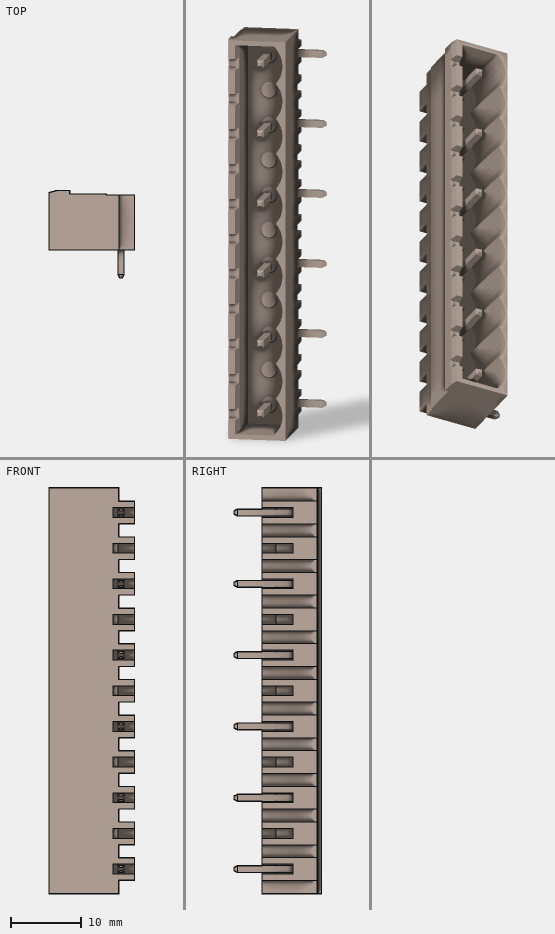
import cadquery as cq


POSITIONS = 11
PITCH = 5.08
LENGTH = 57.88
CONTACT_STEP = 2

DEPTH = 12.2
RIDGE_HEIGHT = 8.5
RIDGE_FRONT_HEIGHT = 8.2
RIDGE_SLOPE_END = 1.1
RIDGE_BACK = 3.0
LID_HEIGHT = 8.02
LID_BACK = 8.2
REAR_HEIGHT = 7.85

FLOOR_X = 8.2
END_WALL = 0.7
MOUTH_CEILING = 7.3
CEILING = 6.95
CEILING_SLOPE_END = 1.9

SCALLOP_AXIS_Y = 4.35
SCALLOP_MOUTH_RADIUS = 3.9
SCALLOP_FLOOR_RADIUS = 3.5
CUSP_TOP_Y = 1.75

NOTCH_MOUTH_WIDTH = 1.65
NOTCH_FLOOR_WIDTH = 1.4
NOTCH_DEPTH = 1.4

TOOTH_ROOT_X = 9.97
TOOTH_WIDTH = 3.25
CHANNEL_WIDTH = 1.4
CHANNEL_MOUTH_X = 9.1
CHANNEL_MOUTH_DEPTH = 2.0

CONTACT_Y = 3.9
CONTACT_SIZE = 1.0
CONTACT_FRONT_X = 0.9
LEG_FRONT_X = 9.82
LEG_THICKNESS = 0.88
LEG_LENGTH = 4.0
TIP_LENGTH = 0.5
TIP_INSET = 0.27
BOSS_BASE_RADIUS = 1.23
BOSS_TOP_RADIUS = 1.02
BOSS_HEIGHT = 0.5

CHANNEL_DEPTH = CONTACT_Y + CONTACT_SIZE / 2
position_heights = [(i - (POSITIONS - 1) / 2) * PITCH for i in range(POSITIONS)]
contact_heights = position_heights[::CONTACT_STEP]


def block(x_range, y_range, z_center, z_size):
    """Box spanning the given X and Y ranges, centred on z_center."""
    x_size = x_range[1] - x_range[0]
    y_size = y_range[1] - y_range[0]
    corner = (x_range[0], y_range[0], z_center - z_size / 2)
    return cq.Workplane("XY").box(x_size, y_size, z_size, centered=False).translate(corner)


def prism(points, length):
    """Prism with an XY outline, centred on Z = 0."""
    return cq.Workplane("XY").polyline(points).close().extrude(length / 2, both=True)


def frustum(start_radius, end_radius, start_x, length, y, z):
    """Truncated cone whose axis runs along +X."""
    start = cq.Vector(start_x, y, z)
    return cq.Workplane(cq.Solid.makeCone(start_radius, end_radius, length, start, cq.Vector(1, 0, 0)))


def pointed_tip(plane, width, height):
    """Tapered end of a rectangular bar, growing along the plane's normal."""
    return (
        cq.Workplane(plane)
        .rect(width, height)
        .workplane(offset=TIP_LENGTH)
        .rect(width - 2 * TIP_INSET, height - 2 * TIP_INSET)
        .loft(combine=True)
    )


def make_housing():
    """Solid housing with its stepped upper side."""
    outline = [
        (0, 0),
        (DEPTH, 0),
        (DEPTH, REAR_HEIGHT),
        (LID_BACK, REAR_HEIGHT),
        (LID_BACK, LID_HEIGHT),
        (RIDGE_BACK, LID_HEIGHT),
        (RIDGE_BACK, RIDGE_HEIGHT),
        (RIDGE_SLOPE_END, RIDGE_HEIGHT),
        (0, RIDGE_FRONT_HEIGHT),
    ]
    return prism(outline, LENGTH)


def make_cavity():
    """Cavity with a sloped ceiling and tapered scallops parted by blunt cusps."""
    outline = [
        (0, 0),
        (FLOOR_X, 0),
        (FLOOR_X, CEILING),
        (CEILING_SLOPE_END, CEILING),
        (0, MOUTH_CEILING),
    ]
    envelope = prism(outline, LENGTH - 2 * END_WALL)
    opening = block((0, FLOOR_X), (CUSP_TOP_Y, RIDGE_HEIGHT), 0, LENGTH)
    for z in position_heights:
        scallop = frustum(
            SCALLOP_MOUTH_RADIUS, SCALLOP_FLOOR_RADIUS, 0, FLOOR_X, SCALLOP_AXIS_Y, z
        )
        opening = opening.union(scallop)
    return envelope.intersect(opening)


def make_notch(z):
    """Notch through the ridge, narrowing from its open front to its floor."""
    mouth = NOTCH_MOUTH_WIDTH / 2
    floor = NOTCH_FLOOR_WIDTH / 2
    plane = cq.Plane((0, CEILING, z), xDir=(1, 0, 0), normal=(0, 1, 0))
    outline = [(0, -mouth), (NOTCH_DEPTH, -floor), (NOTCH_DEPTH, floor), (0, mouth)]
    return cq.Workplane(plane).polyline(outline).close().extrude(RIDGE_HEIGHT - CEILING)


def cut_tooth_gaps(body):
    """Leave one full-height rear tooth at each position."""
    rear = (TOOTH_ROOT_X, DEPTH)
    height = (0, RIDGE_HEIGHT)
    gaps = block(rear, height, 0, LENGTH)
    for z in position_heights:
        gaps = gaps.cut(block(rear, height, z, TOOTH_WIDTH))
    return body.cut(gaps)


def make_channel(z):
    """Shallow lead-in followed by the deep channel that receives a contact leg."""
    lead_in = block((CHANNEL_MOUTH_X, DEPTH), (0, CHANNEL_MOUTH_DEPTH), z, CHANNEL_WIDTH)
    channel = block((LEG_FRONT_X, DEPTH), (0, CHANNEL_DEPTH), z, CHANNEL_WIDTH)
    return lead_in.union(channel)


def make_boss(z):
    return frustum(
        BOSS_TOP_RADIUS, BOSS_BASE_RADIUS, FLOOR_X - BOSS_HEIGHT, BOSS_HEIGHT, CONTACT_Y, z
    )


def make_contact(z):
    """Right-angle contact with tapered ends."""
    leg_back_x = LEG_FRONT_X + LEG_THICKNESS
    leg_center_x = LEG_FRONT_X + LEG_THICKNESS / 2
    pin_start_x = CONTACT_FRONT_X + TIP_LENGTH
    leg_end_y = TIP_LENGTH - LEG_LENGTH
    pin_y = (CONTACT_Y - CONTACT_SIZE / 2, CONTACT_Y + CONTACT_SIZE / 2)
    pin = block((pin_start_x, leg_back_x), pin_y, z, CONTACT_SIZE)
    leg = block((LEG_FRONT_X, leg_back_x), (leg_end_y, pin_y[1]), z, CONTACT_SIZE)
    pin_tip_plane = cq.Plane((pin_start_x, CONTACT_Y, z), xDir=(0, 1, 0), normal=(-1, 0, 0))
    leg_tip_plane = cq.Plane((leg_center_x, leg_end_y, z), xDir=(1, 0, 0), normal=(0, -1, 0))
    pin_tip = pointed_tip(pin_tip_plane, CONTACT_SIZE, CONTACT_SIZE)
    leg_tip = pointed_tip(leg_tip_plane, LEG_THICKNESS, CONTACT_SIZE)
    return pin.union(leg).union(pin_tip).union(leg_tip)


result = cut_tooth_gaps(make_housing().cut(make_cavity()))
for height in position_heights:
    result = result.cut(make_notch(height)).cut(make_channel(height)).union(make_boss(height))
for height in contact_heights:
    result = result.union(make_contact(height))